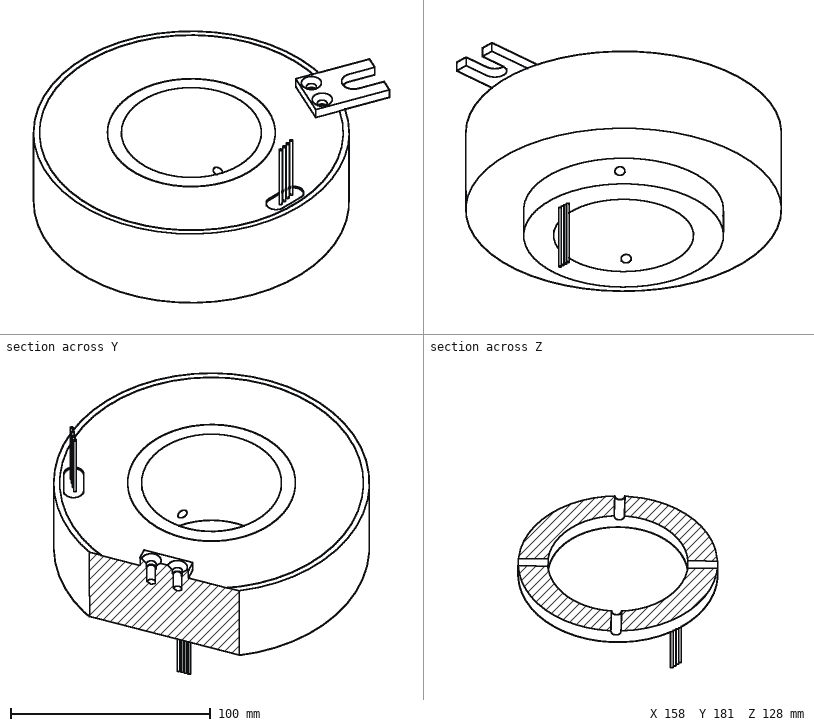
import cadquery as cq
import math

DRUM_RADIUS = 79.0
DRUM_HEIGHT = 45.0
FLANGE_RADIUS = 50.0
FLANGE_HEIGHT = 15.0
BORE_RADIUS = 35.0
TOP_Z = FLANGE_HEIGHT + DRUM_HEIGHT

RIM_WIDTH = 3.0
ROTOR_RING_WIDTH = 7.0
COVER_RECESS = 0.2
COVER_Z = TOP_Z - COVER_RECESS

SET_SCREW_DIAMETER = 5.0
SET_SCREW_COUNT = 4
SET_SCREW_START_ANGLE = 45.0

FORK_WIDTH = 26.0
FORK_LENGTH = 40.0
FORK_THICKNESS = 5.0
FORK_INNER_Y = 62.0
FORK_OUTER_Y = FORK_INNER_Y + FORK_LENGTH
FORK_SLOT_WIDTH = 12.0
FORK_SLOT_DEPTH = 20.0

SCREW_SPACING = 14.0
SCREW_EDGE_DISTANCE = 6.0
SCREW_Y = FORK_INNER_Y + SCREW_EDGE_DISTANCE
SCREW_RADIUS = 2.5
TAP_DRILL_RADIUS = 2.1
COUNTERSINK_RADIUS = 5.0
COUNTERSINK_DEPTH = COUNTERSINK_RADIUS - SCREW_RADIUS
DRILL_DEPTH = 10.0
DRILL_POINT_ANGLE = 118.0

OUTLET_ANGLE = 20.0
OUTLET_CENTER_RADIUS = 69.0
OUTLET_WIDTH = 10.0
OUTLET_LENGTH = 22.0
OUTLET_DEPTH = 1.0
OUTLET_FLOOR_Z = COVER_Z - OUTLET_DEPTH

WIRE_DIAMETER = 1.4
WIRE_COUNT = 4
WIRE_LENGTH = 34.0
WIRE_EMBED = 2.0
STATOR_WIRE_CENTER = (64.8, 24.2)
STATOR_WIRE_PITCH = 3.0
STATOR_WIRE_ROW_ANGLE = -59.0
ROTOR_WIRE_CENTER = (-0.6, 41.3)
ROTOR_WIRE_PITCH = 1.9
ROTOR_WIRE_ROW_ANGLE = 0.0


def make_body():
    flange = cq.Workplane("XY").circle(FLANGE_RADIUS).extrude(FLANGE_HEIGHT)
    drum = cq.Workplane("XY").workplane(offset=FLANGE_HEIGHT).circle(DRUM_RADIUS).extrude(DRUM_HEIGHT)
    bore = cq.Workplane("XY").circle(BORE_RADIUS).extrude(TOP_Z)
    return flange.union(drum).cut(bore)


def make_fork_block(bottom_z, height):
    block = cq.Workplane("XY").box(FORK_WIDTH, FORK_LENGTH, height, centered=(True, False, False))
    return block.translate((0, FORK_INNER_Y, bottom_z))


def make_cover_recess():
    recess = (
        cq.Workplane("XY")
        .workplane(offset=COVER_Z)
        .circle(DRUM_RADIUS - RIM_WIDTH)
        .circle(BORE_RADIUS + ROTOR_RING_WIDTH)
        .extrude(COVER_RECESS)
    )
    return recess.cut(make_fork_block(COVER_Z, COVER_RECESS))


def make_set_screw_hole(angle):
    axis = cq.Vector(math.cos(math.radians(angle)), math.sin(math.radians(angle)), 0)
    start = cq.Vector(0, 0, FLANGE_HEIGHT / 2)
    return cq.Workplane(cq.Solid.makeCylinder(SET_SCREW_DIAMETER / 2, FLANGE_RADIUS, start, axis))


def make_outlet():
    return (
        cq.Workplane("XY")
        .workplane(offset=OUTLET_FLOOR_Z)
        .transformed(rotate=(0, 0, OUTLET_ANGLE))
        .center(OUTLET_CENTER_RADIUS, 0)
        .slot2D(OUTLET_LENGTH, OUTLET_WIDTH, 90)
        .extrude(TOP_Z - OUTLET_FLOOR_Z)
    )


def make_fork():
    plate = make_fork_block(TOP_Z, FORK_THICKNESS)
    slot_radius = FORK_SLOT_WIDTH / 2
    slot_center_y = FORK_OUTER_Y - FORK_SLOT_DEPTH + slot_radius
    slot = (
        cq.Workplane("XY")
        .workplane(offset=TOP_Z)
        .moveTo(-slot_radius, FORK_OUTER_Y)
        .lineTo(-slot_radius, slot_center_y)
        .threePointArc((0, slot_center_y - slot_radius), (slot_radius, slot_center_y))
        .lineTo(slot_radius, FORK_OUTER_Y)
        .close()
        .extrude(FORK_THICKNESS)
    )
    return plate.cut(slot)


def make_fork_screw_hole(x):
    fork_top_z = TOP_Z + FORK_THICKNESS
    drill_bottom_z = TOP_Z - DRILL_DEPTH
    drill_tip_z = drill_bottom_z - TAP_DRILL_RADIUS / math.tan(math.radians(DRILL_POINT_ANGLE / 2))
    profile = [
        (0, fork_top_z),
        (COUNTERSINK_RADIUS, fork_top_z),
        (SCREW_RADIUS, fork_top_z - COUNTERSINK_DEPTH),
        (SCREW_RADIUS, TOP_Z),
        (TAP_DRILL_RADIUS, TOP_Z),
        (TAP_DRILL_RADIUS, drill_bottom_z),
        (0, drill_tip_z),
    ]
    hole = cq.Workplane("XZ").polyline(profile).close().revolve(360, (0, 0), (0, 1))
    return hole.translate((x, SCREW_Y, 0))


def make_wires(center, pitch, row_angle, bottom_z, length):
    wires = cq.Workplane("XY")
    for index in range(WIRE_COUNT):
        offset = (index - (WIRE_COUNT - 1) / 2) * pitch
        x = center[0] + offset * math.cos(math.radians(row_angle))
        y = center[1] + offset * math.sin(math.radians(row_angle))
        wire = cq.Workplane("XY").circle(WIRE_DIAMETER / 2).extrude(length)
        wires = wires.add(wire.translate((x, y, bottom_z)))
    return wires.combine()


result = make_body().cut(make_cover_recess()).cut(make_outlet())
for screw_index in range(SET_SCREW_COUNT):
    result = result.cut(make_set_screw_hole(SET_SCREW_START_ANGLE + screw_index * 360 / SET_SCREW_COUNT))

result = result.union(make_fork())
for screw_x in (-SCREW_SPACING / 2, SCREW_SPACING / 2):
    result = result.cut(make_fork_screw_hole(screw_x))

stator_wire_bottom_z = OUTLET_FLOOR_Z - WIRE_EMBED
result = result.union(
    make_wires(
        STATOR_WIRE_CENTER,
        STATOR_WIRE_PITCH,
        STATOR_WIRE_ROW_ANGLE,
        stator_wire_bottom_z,
        TOP_Z + WIRE_LENGTH - stator_wire_bottom_z,
    )
)
result = result.union(
    make_wires(
        ROTOR_WIRE_CENTER,
        ROTOR_WIRE_PITCH,
        ROTOR_WIRE_ROW_ANGLE,
        -WIRE_LENGTH,
        WIRE_LENGTH + WIRE_EMBED,
    )
)